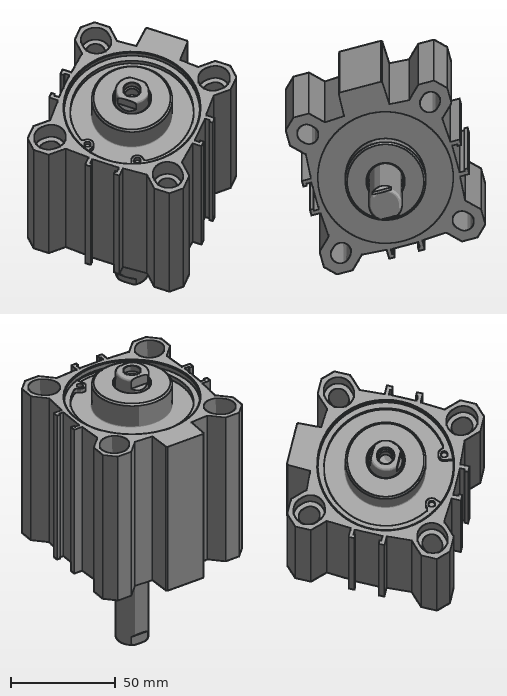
import cadquery as cq
import math


HOUSING_LENGTH = 82.0
HALF_WIDTH = 40.0
LUG_FLAT_INNER = 27.0
LUG_FLAT_OUTER = 34.8
WALL_AT_LUG = 33.7
WALL_AT_RAIL = 34.5
BORE_DIA = 64.8
BORE_CHAMFER = 0.5

RAIL_OUTER = 8.8
RAIL_LIP = 6.0
RAIL_INNER = 6.8
RAIL_TOP = 39.0
RAIL_LIP_BOTTOM = 37.2
RAIL_FLOOR = 34.8
RAIL_ROOT = 33.5

PORT_TOP = 46.0
PORT_TOP_HALF = 10.8
PORT_ROOT_HALF = 11.2
PORT_CORNER = 0.6

MOUNT_OFFSET = 30.2
MOUNT_HOLE_DIA = 9.0
MOUNT_CBORE_DIA = 14.0
MOUNT_CBORE_DEPTH = 10.0
MOUNT_STRETCH = 1.4

RING_OUTER_DIA = 68.2
RING_INNER_DIA = 59.0
RING_DEPTH = 2.9
RING_THICKNESS = 2.3
EAR_X = 12.8
EAR_Y = -25.7
EAR_RADIUS = 2.9
EAR_HOLE_DIA = 3.2
EAR_BLEND = 1.5

COVER_FLANGE = 12.2
COLLAR_DIA = 38.5
COLLAR_HEIGHT = 8.0
COLLAR_CHAMFER = 0.9
COLLAR_ROOT_FILLET = 0.8
ROD_RECESS_DIA = 17.6
ROD_RECESS_DEPTH = 6.1
ROD_RECESS_CHAMFER = 0.5
ROD_CLEARANCE_DIA = 16.5
ROD_CLEARANCE_DEPTH = 9.1
TOP_COVER_DEPTH = RING_DEPTH + RING_THICKNESS

ROD_DIA = 16.0
ROD_LENGTH = 152
ROD_ABOVE_COLLAR = 7.0
ROD_TOP = HOUSING_LENGTH + COLLAR_HEIGHT + ROD_ABOVE_COLLAR
ROD_BOTTOM = ROD_TOP - ROD_LENGTH
ROD_END_FILLET = 1.5
FLAT_WIDTH = 12.9
FLAT_LENGTH = 5.3
ROD_PORT_DIA = 8.2
ROD_PORT_MOUTH_DIA = 8.5
ROD_PORT_DEPTH = 3.2
DRILL_DIA = 6.7
DRILL_DEPTH = 9.1
DRILL_POINT = 0.6


def prism(points, height):
    return cq.Workplane("XY").polyline(points).close().extrude(height)


def mount_slot(diameter, z, height):
    """Round-ended slot at every corner, pointing at the cylinder axis."""
    slots = cq.Workplane("XY")
    for angle in (45, 135, 225, 315):
        slot = (
            cq.Workplane("XY", origin=(0, 0, z))
            .center(MOUNT_OFFSET * math.sqrt(2), 0)
            .slot2D(diameter + MOUNT_STRETCH, diameter)
            .extrude(height)
            .rotate((0, 0, 0), (0, 0, 1), angle)
        )
        slots = slots.add(slot)
    return slots.combine()


def housing_profile():
    """Cross-section of the tube with its four corner lugs, one quarter at a time."""
    flank = HALF_WIDTH - WALL_AT_LUG
    wall_end = LUG_FLAT_INNER - flank
    quarter = [
        (HALF_WIDTH, LUG_FLAT_INNER),
        (HALF_WIDTH, LUG_FLAT_OUTER),
        (LUG_FLAT_OUTER, HALF_WIDTH),
        (LUG_FLAT_INNER, HALF_WIDTH),
        (wall_end, WALL_AT_LUG),
        (RAIL_OUTER, WALL_AT_RAIL),
        (-RAIL_OUTER, WALL_AT_RAIL),
        (-wall_end, WALL_AT_LUG),
    ]
    points = []
    for turn in range(4):
        cos = round(math.cos(turn * math.pi / 2))
        sin = round(math.sin(turn * math.pi / 2))
        points += [(x * cos - y * sin, x * sin + y * cos) for x, y in quarter]
    return points


def sensor_rails(angle):
    """Pair of hooked rails, shaped on the +Y side and turned to the wanted side."""
    half = [
        (RAIL_INNER, RAIL_FLOOR),
        (RAIL_INNER, RAIL_LIP_BOTTOM),
        (RAIL_LIP, RAIL_LIP_BOTTOM),
        (RAIL_LIP, RAIL_TOP),
        (RAIL_OUTER, RAIL_TOP),
        (RAIL_OUTER, RAIL_ROOT),
    ]
    mirrored = [(-x, y) for x, y in reversed(half)]
    return prism(half + mirrored, HOUSING_LENGTH).rotate((0, 0, 0), (0, 0, 1), angle)


def port_block():
    return prism(
        [
            (-PORT_ROOT_HALF, RAIL_ROOT),
            (PORT_ROOT_HALF, RAIL_ROOT),
            (PORT_TOP_HALF, PORT_TOP - PORT_CORNER),
            (PORT_TOP_HALF - PORT_CORNER, PORT_TOP),
            (PORT_CORNER - PORT_TOP_HALF, PORT_TOP),
            (-PORT_TOP_HALF, PORT_TOP - PORT_CORNER),
        ],
        HOUSING_LENGTH,
    )


def make_housing():
    body = prism(housing_profile(), HOUSING_LENGTH).union(port_block())
    for angle in (90, 180, 270):
        body = body.union(sensor_rails(angle))

    bore = cq.Workplane("XY").circle(BORE_DIA / 2).extrude(HOUSING_LENGTH)
    groove = (
        cq.Workplane("XY", origin=(0, 0, HOUSING_LENGTH - TOP_COVER_DEPTH))
        .circle(RING_OUTER_DIA / 2)
        .extrude(RING_THICKNESS)
    )
    body = body.cut(bore)
    bore_edge = cq.selectors.RadiusNthSelector(0)
    body = body.faces(">Z").edges(bore_edge).chamfer(BORE_CHAMFER)
    body = body.cut(groove)
    body = body.cut(mount_slot(MOUNT_HOLE_DIA, 0, HOUSING_LENGTH))
    return body.cut(mount_slot(MOUNT_CBORE_DIA, HOUSING_LENGTH - MOUNT_CBORE_DEPTH, MOUNT_CBORE_DEPTH))


def make_cover(depth):
    """Cover with its flange face at Z = 0, to be set `depth` below the housing face.

    Only a sunk cover has a fillet at the root of its collar.
    """
    collar_end = depth + COLLAR_HEIGHT
    cover = (
        cq.Workplane("XY", origin=(0, 0, -COVER_FLANGE))
        .circle(BORE_DIA / 2)
        .extrude(COVER_FLANGE)
        .faces(">Z")
        .workplane()
        .circle(COLLAR_DIA / 2)
        .extrude(collar_end)
    )
    cover = cover.faces(">Z").chamfer(COLLAR_CHAMFER)
    smallest = cq.selectors.RadiusNthSelector(0)
    if depth > 0:
        cover = cover.faces("<Z[-2]").edges(smallest).fillet(COLLAR_ROOT_FILLET)
    return (
        cover.faces(">Z").workplane().circle(ROD_DIA / 2).cutThruAll()
        .faces(">Z").workplane().circle(ROD_CLEARANCE_DIA / 2).cutBlind(-ROD_CLEARANCE_DEPTH)
        .faces(">Z").workplane().circle(ROD_RECESS_DIA / 2).cutBlind(-ROD_RECESS_DEPTH)
        .faces(">Z").edges(smallest).chamfer(ROD_RECESS_CHAMFER)
    )


def make_retaining_ring():
    """Open ring with a drilled ear at each side of the gap."""
    ear_distance = math.hypot(EAR_X, EAR_Y)
    gap_half_angle = math.atan2(EAR_X, -EAR_Y) - math.asin(EAR_RADIUS / ear_distance)
    outer = RING_OUTER_DIA / 2
    far = 2 * outer
    ring = cq.Workplane("XY").circle(outer).circle(RING_INNER_DIA / 2).extrude(RING_THICKNESS)
    gap_x = far * math.tan(gap_half_angle)
    ring = ring.cut(prism([(0, 0), (-gap_x, -far), (gap_x, -far)], RING_THICKNESS))

    disc = cq.Workplane("XY").circle(outer).extrude(RING_THICKNESS)
    gap_angle = math.degrees(gap_half_angle)
    for side in (-1, 1):
        ear = cq.Workplane("XY").center(side * EAR_X, EAR_Y).circle(EAR_RADIUS).extrude(RING_THICKNESS)
        tangent_length = math.sqrt(ear_distance ** 2 - EAR_RADIUS ** 2)
        strip = (
            cq.Workplane("XY")
            .center(side * EAR_RADIUS / 2, -(tangent_length + outer) / 2)
            .rect(EAR_RADIUS, outer - tangent_length)
            .extrude(RING_THICKNESS)
            .rotate((0, 0, 0), (0, 0, 1), side * gap_angle)
        )
        ring = ring.union(ear).union(strip.intersect(disc))

    for side in (-1, 1):
        corner = cq.selectors.NearestToPointSelector((side * (EAR_X + EAR_RADIUS), EAR_Y, RING_THICKNESS / 2))
        ring = ring.edges("|Z").edges(corner).fillet(EAR_BLEND)
    holes = (
        cq.Workplane("XY")
        .pushPoints([(-EAR_X, EAR_Y), (EAR_X, EAR_Y)])
        .circle(EAR_HOLE_DIA / 2)
        .extrude(RING_THICKNESS)
    )
    return ring.cut(holes)


def flat_cutter():
    """Material removed for the wrench flat on the +Y side of an upward rod end at Z = 0."""
    inner = FLAT_WIDTH / 2
    run_out = ROD_DIA / 2
    return (
        cq.Workplane("YZ", origin=(-ROD_DIA / 2, 0, 0))
        .polyline([
            (inner, 0),
            (inner, -FLAT_LENGTH),
            (inner + run_out, -FLAT_LENGTH - run_out),
            (inner + run_out, 0),
        ])
        .close()
        .extrude(ROD_DIA)
    )


def make_rod():
    rod = cq.Workplane("XY", origin=(0, 0, ROD_BOTTOM)).circle(ROD_DIA / 2).extrude(ROD_LENGTH)
    rod = rod.faces("<Z or >Z").edges().fillet(ROD_END_FILLET)

    upper_flat = flat_cutter()
    lower_flat = upper_flat.mirror("XY")
    for angle in (0, 180):
        turned_upper = upper_flat.rotate((0, 0, 0), (0, 0, 1), angle)
        turned_lower = lower_flat.rotate((0, 0, 0), (0, 0, 1), angle)
        rod = rod.cut(turned_upper.translate((0, 0, ROD_TOP)))
        rod = rod.cut(turned_lower.translate((0, 0, ROD_BOTTOM)))

    mouth = (ROD_PORT_MOUTH_DIA - ROD_PORT_DIA) / 2
    step = (ROD_PORT_DIA - DRILL_DIA) / 2
    port = (
        cq.Workplane("XZ")
        .polyline([
            (0, ROD_TOP),
            (ROD_PORT_MOUTH_DIA / 2, ROD_TOP),
            (ROD_PORT_DIA / 2, ROD_TOP - mouth),
            (ROD_PORT_DIA / 2, ROD_TOP - ROD_PORT_DEPTH),
            (DRILL_DIA / 2, ROD_TOP - ROD_PORT_DEPTH - step),
            (DRILL_DIA / 2, ROD_TOP - DRILL_DEPTH),
            (0, ROD_TOP - DRILL_DEPTH - DRILL_POINT),
        ])
        .close()
        .revolve(360, (0, 0, 0), (0, 1, 0))
    )
    return rod.cut(port)


housing = make_housing()
top_cover = make_cover(TOP_COVER_DEPTH).translate((0, 0, HOUSING_LENGTH - TOP_COVER_DEPTH))
bottom_cover = make_cover(0).mirror("XY")
retaining_ring = make_retaining_ring().translate((0, 0, HOUSING_LENGTH - TOP_COVER_DEPTH))
rod = make_rod()

result = cq.Compound.makeCompound([
    housing.val(),
    top_cover.val(),
    bottom_cover.val(),
    retaining_ring.val(),
    rod.val(),
])